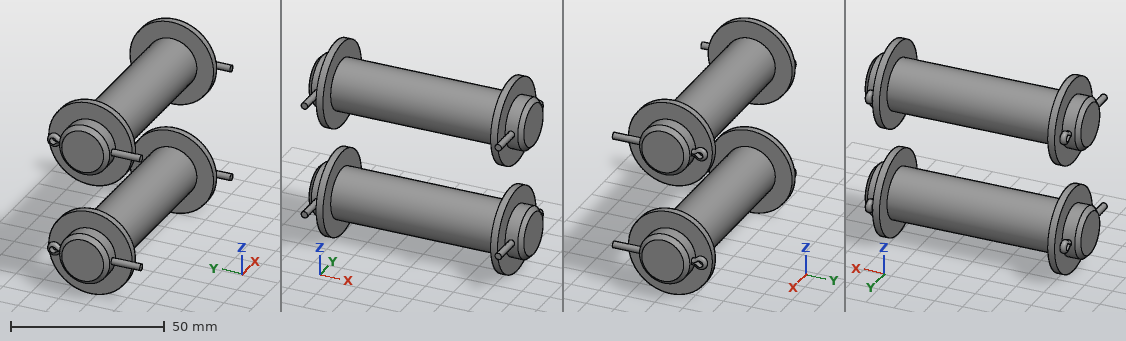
import cadquery as cq
import math

shaft_length = 77.0
shaft_diameter = 18.0
end_face_diameter = 15.0
end_chamfer = (shaft_diameter - end_face_diameter) / 2

washer_diameter = 30.0
washer_thickness = 2.5
washer_inset = 6.0

cotter_diameter = 2.3
wire_radius = cotter_diameter / 2
cotter_inset = 3.8
cotter_tail_y = -19.25
eye_center_y = 11.9
eye_inner_radius = 1.15
eye_opening_angle = 90.0
neck_angle = eye_opening_angle / 2

neck_sine = math.sin(math.radians(neck_angle))
neck_cosine = math.cos(math.radians(neck_angle))
neck_bend_radius = eye_inner_radius * neck_cosine / (1 - neck_cosine)
neck_end_y = eye_center_y - (eye_inner_radius + neck_bend_radius) * neck_sine

assembly_count = 2
assembly_spacing = 40.0


def make_shaft():
    start_x = -shaft_length / 2
    shaft = cq.Workplane("YZ", origin=(start_x, 0, 0)).circle(shaft_diameter / 2).extrude(shaft_length)
    return shaft.faces("<X or >X").chamfer(end_chamfer)


def make_washer(side):
    """Washer at the -X (side = -1) or +X (side = 1) end of the shaft."""
    center_x = side * (shaft_length / 2 - washer_inset - washer_thickness / 2)
    start_x = center_x - washer_thickness / 2
    return cq.Workplane("YZ", origin=(start_x, 0, 0)).circle(washer_diameter / 2).extrude(washer_thickness)


def half_round(flat_y, bulge):
    """Half-round wire section with its flat at flat_y, bulging toward +Y (bulge = 1) or -Y (-1)."""
    return (
        cq.Workplane("XY")
        .moveTo(-wire_radius, flat_y)
        .threePointArc((0, flat_y + bulge * wire_radius), (wire_radius, flat_y))
        .close()
    )


def make_eye():
    """Open ring about the X axis, with its gap centred on -Y."""
    ring = half_round(eye_inner_radius, 1).revolve(360 - eye_opening_angle, (0, 0, 0), (1, 0, 0))
    start_angle = eye_opening_angle / 2 - 180
    return ring.rotate((0, 0, 0), (1, 0, 0), start_angle).translate((0, eye_center_y, 0))


def make_neck():
    """Upper reverse bend leading one wire from the eye to the cotter axis."""
    bend = half_round(neck_bend_radius, -1).revolve(neck_angle, (0, 0, 0), (1, 0, 0))
    bend = bend.rotate((0, 0, 0), (1, 0, 0), -90)
    return bend.translate((0, neck_end_y, neck_bend_radius))


def make_cotter(side):
    shank = (
        cq.Workplane("XZ", origin=(0, neck_end_y, 0))
        .circle(wire_radius)
        .extrude(neck_end_y - cotter_tail_y)
    )
    neck = make_neck()
    cotter = shank.union(neck).union(neck.mirror("XY")).union(make_eye())
    return cotter.translate((side * (shaft_length / 2 - cotter_inset), 0, 0))


def make_pin_assembly(center_z):
    """Shaft with its washers and cotters as one solid."""
    assembly = make_shaft()
    for side in (-1, 1):
        assembly = assembly.union(make_washer(side)).union(make_cotter(side))
    return assembly.translate((0, 0, center_z))


pin_assemblies = []
for index in range(assembly_count):
    level = (index - (assembly_count - 1) / 2) * assembly_spacing
    pin_assemblies.append(make_pin_assembly(level).solids().val())

result = cq.Compound.makeCompound(pin_assemblies)